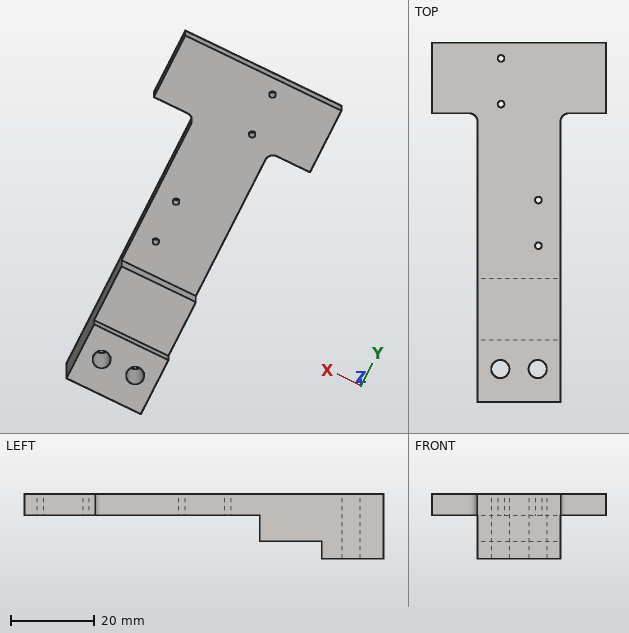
import cadquery as cq

length = 86.5
head_width = 42.0
total_height = 15.7

plate_thickness = 5.2
head_length = 17.0
stem_width = 20.0
corner_radius = 2.0

upper_step_length = 29.85
upper_step_depth = 11.4
lower_step_length = 15.0

mount_diameter = 4.3
mount_spacing = 9.0
mount_from_end = 8.0
pin_diameter = 1.6
pin_pair_spacing = 11.0
head_pin_x = -4.3
head_pin_y = length - 3.8
stem_pin_x = 4.7
stem_pin_y = 48.6


def block(width, start, end, depth):
    """Box centred on X, from start to end along Y, hanging below the top face."""
    return cq.Workplane("XY").box(width, end - start, depth, centered=(True, False, False)).translate(
        (0, start, -depth)
    )


def holes(points, diameter):
    """Cylinders through the full height at the given X, Y points."""
    return cq.Workplane("XY").pushPoints(points).circle(diameter / 2).extrude(-total_height)


def pin_pair(x, y):
    """Two pin holes in line along Y, the first at x, y and the second nearer the foot."""
    return holes([(x, y), (x, y - pin_pair_spacing)], pin_diameter)


head_start = length - head_length
plate = block(stem_width, 0, length, plate_thickness).union(
    block(head_width, head_start, length, plate_thickness)
)
inner_corners = cq.selectors.BoxSelector(
    (-stem_width / 2 - corner_radius, head_start - corner_radius, -plate_thickness),
    (stem_width / 2 + corner_radius, head_start + corner_radius, 0),
)
plate = plate.edges("|Z").edges(inner_corners).fillet(corner_radius)

body = plate.union(block(stem_width, 0, upper_step_length, upper_step_depth))
body = body.union(block(stem_width, 0, lower_step_length, total_height))

mount_points = [(side * mount_spacing / 2, mount_from_end) for side in (-1, 1)]
body = body.cut(holes(mount_points, mount_diameter))
body = body.cut(pin_pair(head_pin_x, head_pin_y))
result = body.cut(pin_pair(stem_pin_x, stem_pin_y))